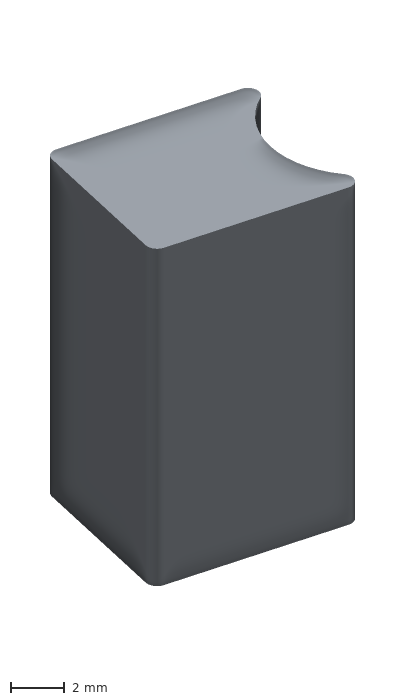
import cadquery as cq
import math

width = 7.8
depth = 8.98
height = 15.0

corner_radius = 0.5
groove_radius = 4.0

half_width = width / 2
corner_x = half_width - corner_radius
tip_y = depth - corner_radius
diagonal = corner_radius * math.sqrt(0.5)

center_distance = groove_radius + corner_radius
groove_y = tip_y + math.sqrt(center_distance**2 - corner_x**2)
groove_floor_y = groove_y - groove_radius

tip_share = corner_radius / center_distance
tangent_x = corner_x * (1 - tip_share)
tangent_y = tip_y + (groove_y - tip_y) * tip_share

profile = (
    cq.Workplane("XY")
    .moveTo(-corner_x, 0)
    .lineTo(corner_x, 0)
    .threePointArc((corner_x + diagonal, corner_radius - diagonal), (half_width, corner_radius))
    .lineTo(half_width, tip_y)
    .threePointArc((corner_x, depth), (tangent_x, tangent_y))
    .threePointArc((0, groove_floor_y), (-tangent_x, tangent_y))
    .threePointArc((-corner_x, depth), (-half_width, tip_y))
    .lineTo(-half_width, corner_radius)
    .threePointArc((-corner_x - diagonal, corner_radius - diagonal), (-corner_x, 0))
    .close()
)

result = profile.extrude(height)